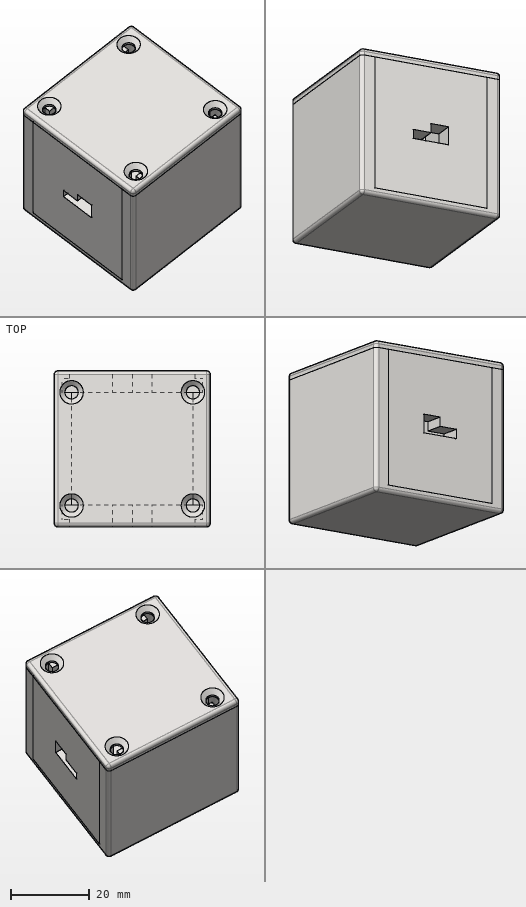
import cadquery as cq

SIZE = 40.0
EDGE_RADIUS = 1.0
LID_THICKNESS = 2.0
FLOOR_THICKNESS = 2.0
SEAM_Z = SIZE - LID_THICKNESS

FACE_WIDTH = 32.0
FACE_THICKNESS = 2.0
FLANGE_WIDTH = 36.0
PANEL_THICKNESS = 5.6
PANEL_HEIGHT = SEAM_Z - FLOOR_THICKNESS

SIDE_WALL = 4.5
CAVITY_WIDTH = SIZE - 2 * SIDE_WALL
CAVITY_LENGTH = SIZE - 2 * PANEL_THICKNESS

KEY_WIDTH = 10.0
KEY_HEIGHT = 4.95
KEY_STEP_X = SIZE / 2
KEY_LEFT = (SIZE - KEY_WIDTH) / 2
KEY_RIGHT = KEY_LEFT + KEY_WIDTH
KEY_BOTTOM = (SIZE - KEY_HEIGHT) / 2
KEY_TOP = KEY_BOTTOM + KEY_HEIGHT
KEY_STEP_Z = SIZE / 2

SCREW_DIAMETER = 3.4
COUNTERSINK_DIAMETER = 6.0
COUNTERSINK_ANGLE = 90.0
SCREW_INSET_X = 4.5
SCREW_INSET_Y = 5.5
SCREW_DEPTH = 8.0
SCREW_POINTS = [
    (x, y)
    for x in (SCREW_INSET_X, SIZE - SCREW_INSET_X)
    for y in (SCREW_INSET_Y, SIZE - SCREW_INSET_Y)
]


def centred_box(width, y_start, y_end, z_start, z_end):
    """Box centred across the enclosure's width, between two Y and two Z limits."""
    corner = ((SIZE - width) / 2, y_start, z_start)
    return cq.Workplane("XY").box(width, y_end - y_start, z_end - z_start, centered=False).translate(corner)


def rounded_envelope():
    """Cube with every outer edge rounded."""
    return centred_box(SIZE, 0, SIZE, 0, SIZE).edges().fillet(EDGE_RADIUS)


def panel_blank():
    """Front panel without its keyway and screw holes."""
    face = centred_box(FACE_WIDTH, 0, FACE_THICKNESS, FLOOR_THICKNESS, SEAM_Z)
    flange = centred_box(FLANGE_WIDTH, FACE_THICKNESS, PANEL_THICKNESS, FLOOR_THICKNESS, SEAM_Z)
    return face.union(flange)


def opposite_end(body):
    """Mirror a front-end body to the back end."""
    return body.mirror("XZ", (0, SIZE / 2, 0))


def make_housing():
    """Floor and side walls, with a groove at each end for a panel."""
    cavity = centred_box(CAVITY_WIDTH, PANEL_THICKNESS, SIZE - PANEL_THICKNESS, FLOOR_THICKNESS, SEAM_Z)
    lower_half = centred_box(SIZE, 0, SIZE, 0, SEAM_Z)
    front_groove = panel_blank()
    shell = rounded_envelope().intersect(lower_half).cut(cavity)
    return shell.cut(front_groove).cut(opposite_end(front_groove))


def make_lid():
    """Rounded cover plate with four countersunk holes."""
    plate = rounded_envelope().intersect(centred_box(SIZE, 0, SIZE, SEAM_Z, SIZE))
    return (
        plate.faces(">Z")
        .workplane(origin=(0, 0, SIZE))
        .pushPoints(SCREW_POINTS)
        .cskHole(SCREW_DIAMETER, COUNTERSINK_DIAMETER, COUNTERSINK_ANGLE)
    )


def make_panel():
    """Front panel with the keyway and the screw recesses in its upper inner edge."""
    keyway = (
        cq.Workplane("XZ")
        .moveTo(KEY_LEFT, KEY_BOTTOM)
        .lineTo(KEY_RIGHT, KEY_BOTTOM)
        .lineTo(KEY_RIGHT, KEY_TOP)
        .lineTo(KEY_STEP_X, KEY_TOP)
        .lineTo(KEY_STEP_X, KEY_STEP_Z)
        .lineTo(KEY_LEFT, KEY_STEP_Z)
        .close()
        .extrude(-PANEL_THICKNESS)
    )
    screw_recesses = (
        cq.Workplane("XY", origin=(0, 0, SEAM_Z))
        .pushPoints(SCREW_POINTS)
        .circle(SCREW_DIAMETER / 2)
        .extrude(-SCREW_DEPTH)
    )
    return panel_blank().cut(keyway).cut(screw_recesses)


housing = make_housing()
lid = make_lid()
front_panel = make_panel()
panels = [front_panel, opposite_end(front_panel)]

result = cq.Compound.makeCompound([housing.val(), lid.val(), *[panel.val() for panel in panels]])